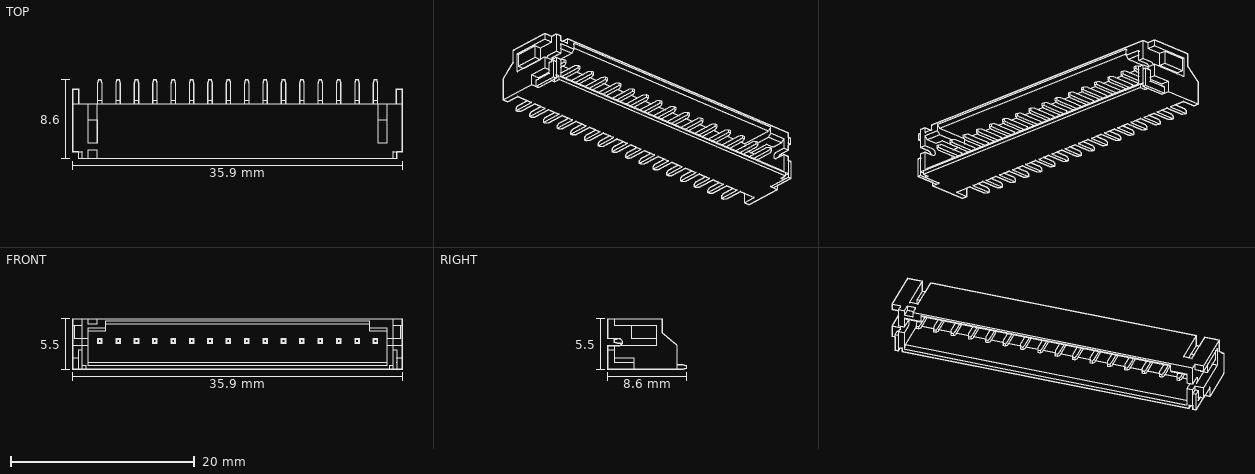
import cadquery as cq


length = 35.9
height = 5.5
body_depth = 5.95
half_length = length / 2

wing_thickness = 1.0
wing_front_y = 0.75
wing_slot_bottom_z = 2.6
wing_slot_top_z = 4.77
wing_slot_back_y = 5.3

block_inset = 0.2
block_front_y = 2.6
block_bottom_z = 3.35

foot_thickness = 0.7
foot_back_y = 7.57
foot_back_z = 2.62
foot_slope_top_z = 4.0

end_wall_outer_x = half_length - wing_thickness
end_wall_thickness = 0.7
cavity_half_length = end_wall_outer_x - end_wall_thickness
cavity_depth = 4.25
cavity_floor_z = 0.75
cavity_side_ceiling_z = 4.15
cavity_middle_ceiling_z = 4.92
cavity_middle_half_length = 14.35
mouth_chamfer = 0.35

notch_depth = 1.6
notch_height = block_bottom_z - wing_slot_bottom_z

roof_slot_width = 0.97
roof_slot_front_y = 1.72
mark_depth_y = 0.97
mark_depth_z = 0.57

tab_thickness = 0.4
tab_upright_height = 2.1
tab_base_height = 0.75
tab_length = 2.9
recess_height = 1.22
corner_notch = 0.43

pin_count = 16
pin_row_length = 30.0
pin_pitch = pin_row_length / (pin_count - 1)
pin_size = 0.5
pin_center_z = 3.1
pin_front_y = 0.72
pin_back_y = 8.6
pin_bend_run = 0.35
pin_bend_rise = 0.32
pin_tip_length = 0.4
pin_tip_size = 0.3


def box(x, y, z):
    """Box spanning the given (low, high) ranges along X, Y and Z."""
    size = (x[1] - x[0], y[1] - y[0], z[1] - z[0])
    return cq.Workplane("XY").box(*size, centered=False).translate((x[0], y[0], z[0]))


def side_prism(points, x):
    """Prism with a closed (Y, Z) outline, spanning the (low, high) range along X."""
    return cq.Workplane("YZ", origin=(x[0], 0, 0)).polyline(points).close().extrude(x[1] - x[0])


def at_both_ends(left_part):
    """The given left-end shape together with its mirror image at the right end."""
    return left_part.union(left_part.mirror("YZ"))


def left_wing():
    outer_x = -half_length
    inner_x = -end_wall_outer_x
    wing = box((outer_x, inner_x), (wing_front_y, body_depth), (0, height))
    slot = box(
        (outer_x, inner_x), (wing_front_y, wing_slot_back_y), (wing_slot_bottom_z, wing_slot_top_z)
    )
    block = box(
        (outer_x + block_inset, inner_x),
        (block_front_y, wing_slot_back_y),
        (block_bottom_z, wing_slot_top_z),
    )
    tab_recess = box((outer_x, inner_x), (wing_front_y, tab_length), (0, recess_height))
    foot_outline = [
        (body_depth, 0),
        (foot_back_y, 0),
        (foot_back_y, foot_back_z),
        (body_depth, foot_slope_top_z),
    ]
    foot = side_prism(foot_outline, (outer_x, outer_x + foot_thickness))
    return wing.cut(slot).union(block).cut(tab_recess).union(foot)


def cavity_part(half_width, ceiling_z):
    """Pocket from the mating face, with a chamfered top and bottom edge at its mouth."""
    outline = [
        (0, cavity_floor_z - mouth_chamfer),
        (mouth_chamfer, cavity_floor_z),
        (cavity_depth, cavity_floor_z),
        (cavity_depth, ceiling_z),
        (mouth_chamfer, ceiling_z),
        (0, ceiling_z + mouth_chamfer),
    ]
    return side_prism(outline, (-half_width, half_width))


def left_end_notch():
    """Notch through the end wall, open at the mating face and round at its inner end."""
    radius = notch_height / 2
    top_z = wing_slot_bottom_z + notch_height
    return (
        cq.Workplane("YZ", origin=(-end_wall_outer_x, 0, 0))
        .moveTo(0, wing_slot_bottom_z)
        .lineTo(notch_depth - radius, wing_slot_bottom_z)
        .threePointArc((notch_depth, wing_slot_bottom_z + radius), (notch_depth - radius, top_z))
        .lineTo(0, top_z)
        .close()
        .extrude(end_wall_thickness)
    )


def left_corner_notch():
    return box(
        (-end_wall_outer_x, -end_wall_outer_x + corner_notch), (0, wing_front_y), (0, corner_notch)
    )


def pin_tip(base_y, end_y, center_z):
    """Tapered pin end, from the full section at base_y to the small section at end_y."""
    direction = 1 if end_y > base_y else -1
    return (
        cq.Workplane(cq.Plane((0, base_y, center_z), xDir=(1, 0, 0), normal=(0, direction, 0)))
        .rect(pin_size, pin_size)
        .workplane(offset=pin_tip_length)
        .rect(pin_tip_size, pin_tip_size)
        .loft(combine=True)
    )


def contact_pin():
    """Mating pin inside the cavity and solder leg behind the housing, centred on X = 0."""
    half = pin_size / 2
    mating_tip_y = pin_front_y + pin_tip_length
    solder_tip_y = pin_back_y - pin_tip_length
    mating_bar = box(
        (-half, half), (mating_tip_y, cavity_depth), (pin_center_z - half, pin_center_z + half)
    )
    bend_y = body_depth + pin_bend_run
    leg_outline = [
        (body_depth, 0),
        (solder_tip_y, 0),
        (solder_tip_y, pin_size),
        (bend_y, pin_size),
        (body_depth, pin_size + pin_bend_rise),
    ]
    leg = side_prism(leg_outline, (-half, half))
    mating_end = mating_bar.union(pin_tip(mating_tip_y, pin_front_y, pin_center_z))
    solder_end = leg.union(pin_tip(solder_tip_y, pin_back_y, half))
    return mating_end, solder_end


def make_housing():
    """Moulded housing in one piece with its contact pins."""
    body = box((-end_wall_outer_x, end_wall_outer_x), (0, body_depth), (0, height))
    body = body.union(at_both_ends(left_wing()))
    body = body.cut(cavity_part(cavity_half_length, cavity_side_ceiling_z))
    body = body.cut(cavity_part(cavity_middle_half_length, cavity_middle_ceiling_z))
    body = body.cut(at_both_ends(left_end_notch()))
    body = body.cut(at_both_ends(left_corner_notch()))

    slot_x = (-cavity_half_length, -cavity_half_length + roof_slot_width)
    roof_slot = box(slot_x, (roof_slot_front_y, body_depth), (cavity_side_ceiling_z, height))
    first_pin_mark = box(slot_x, (0, mark_depth_y), (height - mark_depth_z, height))
    body = body.cut(at_both_ends(roof_slot)).cut(first_pin_mark)

    pin_ends = contact_pin()
    for index in range(pin_count):
        pin_x = -pin_row_length / 2 + index * pin_pitch
        for pin_end in pin_ends:
            body = body.union(pin_end.translate((pin_x, 0, 0)))
    return body


def make_left_tab():
    """L-shaped solder tab standing against the outside of the left end wall."""
    outline = [
        (0, 0),
        (tab_length, 0),
        (tab_length, tab_base_height),
        (wing_front_y, tab_base_height),
        (wing_front_y, tab_upright_height),
        (0, tab_upright_height),
    ]
    return side_prism(outline, (-end_wall_outer_x - tab_thickness, -end_wall_outer_x))


housing = make_housing()
left_tab = make_left_tab()
solder_tabs = [left_tab, left_tab.mirror("YZ")]

result = cq.Compound.makeCompound([housing.val(), *[tab.val() for tab in solder_tabs]])